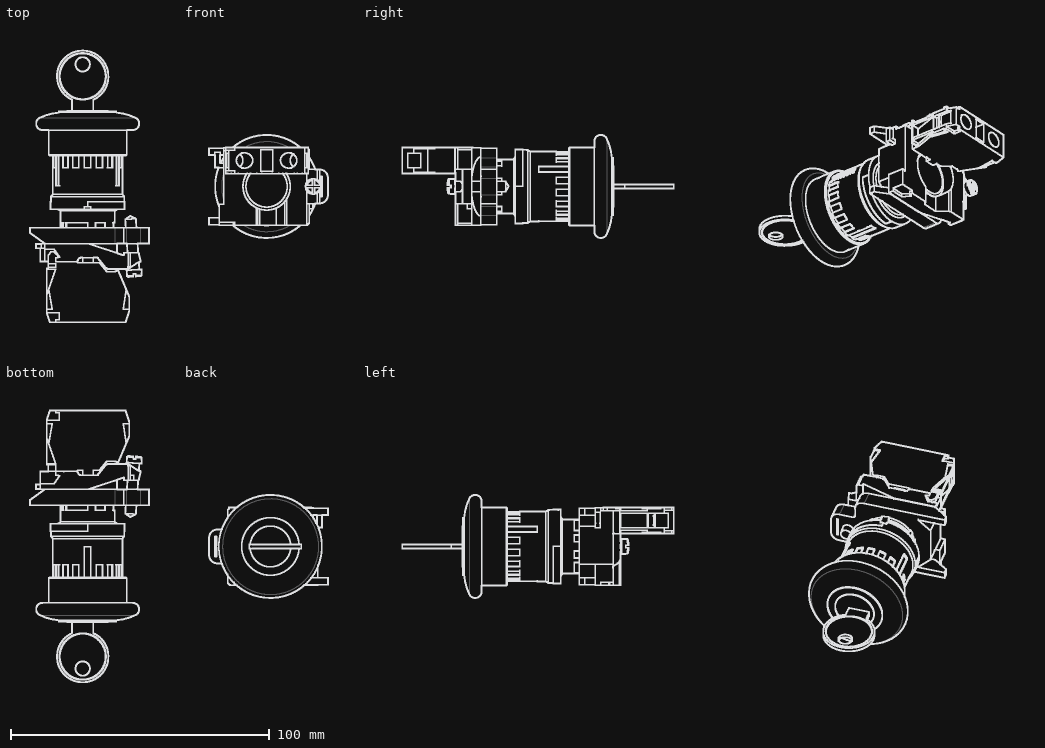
import cadquery as cq
import math


STEM_RADIUS = 9.1
STEM_END = -11.7
FACE_Y = -13.1
CLIP_DEPTH = 1.3
COLLAR_TOP = 15.0
CONTACT_TOP = 15.1
CLIP_FLOOR = COLLAR_TOP - CLIP_DEPTH
CLIP_BARB = (-10.8, -11.5)
CLIP_NECK = (-12.4, -11.8)

CAP_RADIUS = 20.0
RIM_RADIUS = 2.5
RIM_END_ANGLE = 64
CAP_BASE = 37.6
CAP_EDGE_RADIUS = 11.1
DOME_END = 44.4
CAP_FRONT = 44.9
KEY_BOSS_RADIUS = 7.9
KEY_BOSS_FRONT = 45.2
SLEEVE_RADIUS = 15.1
SLEEVE_END = 27.7
SLEEVE_CHAMFER = 0.4
BARREL_RADIUS = 13.5
BARREL_END = 12.8
FLANGE_RADIUS = 14.2
FLANGE_TOP = 11.9
FLANGE_END = 7.0
NECK_RADIUS = 10.5
NECK_CONE_RADIUS = 11.5
NECK_TOP = 6.4
STEM_CHAMFER_R = 1.2
STEM_CHAMFER_Y = 0.4

SLOT_COUNT = 18
SLOT_WIDTH = 2.5
SLOT_DEPTH = 0.5
SHORT_SLOT_END = 23.0
LONG_SLOT_END = 16.1
FIRST_SLOT_ANGLE = 30
SLOTS_PER_LONG = 6

NECK_NOTCH_DEPTH = 0.4
NECK_NOTCH_HEIGHT = 1.9
NECK_NOTCHES = [(-18, 18), (49, 73), (90, 143), (154, 170), (-73, -49), (-143, -90), (-170, -154)]
FLANGE_BANDS = [(0, 90), (-180, -90)]
FLANGE_BAND_HEIGHT = 0.16
FLANGE_BAND_TOP = 10.0
FLANGE_NOTCH_HEIGHT = 1.0
FLANGE_NOTCH_DEPTH = 1.0

KEY_X = -1.9
KEY_RADIUS = 10.0
KEY_END = 68.4
KEY_THICKNESS = 1.7
KEY_NECK_WIDTH = 8.3
KEY_FACE_RADIUS = 9.0
KEY_FACE_FLOOR_RADIUS = 8.8
KEY_FACE_DEPTH = 0.16
KEY_HOLE_Y = 63.0
KEY_HOLE_RADIUS = 2.7

PLATE_THICKNESS = 6.2
PLATE_TOP = 14.8
COLLAR_LEFT = -16.6
PLATE_RIGHT = 14.0
RIDGE_Y = -16.1
RIDGE_LEFT = 6.9
RIDGE_BEVEL_X = 0.9
RIDGE_BEVEL_Y = 0.5
RIDGE_RIGHT = 15.5
ARM_TIP_X = -22.3
ARM_HEIGHT = 2.7
ARM_TIP_LENGTH = 2.1
FOOT_LEFT = -18.4
FOOT_TOP = -6.8
HUB_RADIUS = 11.5
TAB_RIGHT = 23.7
TAB_HALF_HEIGHT = 6.6
TAB_CORNER = 3.4
TAB_ROOT_FILLET = 0.9
TAB_SLIT_X = 21.1
TAB_SLIT_WIDTH = 0.5
TAB_SLIT_HEIGHT = 7.8
SIDE_STRIP_RIGHT = 16.5
SIDE_STRIP_CHAMFER = 0.8

SCREW_TIP = (16.5, 4.5)
SCREW_TILT = 4.0
SCREW_RADIUS = 2.1
SCREW_CONE = 1.3
SCREW_LENGTH = 20.9
SCREW_HEAD_RADIUS = 2.9
SCREW_HEAD_HEIGHT = 2.6
SCREW_HEAD_CHAMFER = 0.4
SCREW_SLOT_WIDTH = 0.8
SCREW_SLOT_DEPTH = 1.0

CONTACT_BOTTOM = 4.9
CONTACT_FRONT = -36.7
CONTACT_LEFT = -15.9
CONTACT_RIGHT = 16.2
HOOK_LEFT = -15.2
HOOK_TIP = -9.3
HOOK_ROOT = -15.8
CONTACT_BACK = -13.5
BEVEL_BACK = -32.9
WINDOW_FRONT = -34.5
WINDOW_BACK = -29.4
GRIP_FRONT = -31.6
TERMINAL_X = 8.5
TERMINAL_RADIUS = 2.9
TERMINAL_DEPTH = 9.5
TERMINAL_TILT = 21.0
WINDOW_WIDTH = 4.6
WINDOW_HEIGHT = 8.3
WINDOW_DEPTH = 6.3
CONTACT_MID_Z = (CONTACT_TOP + CONTACT_BOTTOM) / 2
SIDE_POCKET_HEIGHT = 5.7
SIDE_STEP = 1.3
GRIP_STEP = 0.6
LABEL_STEP = 1.2
HOOK_GROOVE = 0.6


def prism(points, bottom, top):
    """Polygon in x, y extruded along Z from bottom to top."""
    return cq.Workplane("XY").workplane(offset=bottom).polyline(points).close().extrude(top - bottom)


def block(x0, x1, y0, y1, z0, z1):
    """Box between the given limits."""
    return cq.Workplane("XY").box(x1 - x0, y1 - y0, z1 - z0, centered=False).translate((x0, y0, z0))


def rod(radius, front, back, x=0.0, z=0.0):
    """Cylinder parallel to Y, between y = front and y = back."""
    return cq.Workplane("XZ", origin=(x, back, z)).circle(radius).extrude(back - front)


def turned_body():
    """Mushroom cap, sleeve, barrel, flange, neck and stem as one profile about Y."""
    rim_x = CAP_RADIUS - RIM_RADIUS
    rim_y = CAP_BASE + RIM_RADIUS
    rim_end_angle = math.radians(RIM_END_ANGLE)
    rim_end = (rim_x + RIM_RADIUS * math.cos(rim_end_angle), rim_y + RIM_RADIUS * math.sin(rim_end_angle))
    profile = (
        cq.Workplane("XY")
        .moveTo(0, STEM_END)
        .lineTo(STEM_RADIUS - STEM_CHAMFER_R, STEM_END)
        .lineTo(STEM_RADIUS, STEM_END + STEM_CHAMFER_Y)
        .lineTo(STEM_RADIUS, 0)
        .lineTo(NECK_RADIUS, 0)
        .lineTo(NECK_RADIUS, NECK_TOP)
        .lineTo(NECK_CONE_RADIUS, FLANGE_END)
        .lineTo(FLANGE_RADIUS, FLANGE_END)
        .lineTo(FLANGE_RADIUS, FLANGE_TOP)
        .lineTo(BARREL_RADIUS, BARREL_END)
        .lineTo(BARREL_RADIUS, SLEEVE_END)
        .lineTo(SLEEVE_RADIUS - SLEEVE_CHAMFER, SLEEVE_END)
        .lineTo(SLEEVE_RADIUS, SLEEVE_END + SLEEVE_CHAMFER)
        .lineTo(SLEEVE_RADIUS, CAP_BASE)
        .lineTo(rim_x, CAP_BASE)
        .threePointArc((CAP_RADIUS, rim_y), rim_end)
        .tangentArcPoint((CAP_EDGE_RADIUS, DOME_END), relative=False)
        .lineTo(CAP_EDGE_RADIUS, CAP_FRONT)
        .lineTo(KEY_BOSS_RADIUS, CAP_FRONT)
        .lineTo(KEY_BOSS_RADIUS, KEY_BOSS_FRONT)
        .lineTo(0, KEY_BOSS_FRONT)
        .close()
    )
    return profile.revolve(360, (0, 0, 0), (0, 1, 0))


def barrel_slots():
    """Axial slots around the barrel, starting at the sleeve."""
    slots = cq.Workplane("XY")
    for index in range(SLOT_COUNT):
        end = LONG_SLOT_END if index % SLOTS_PER_LONG == 0 else SHORT_SLOT_END
        slot = block(BARREL_RADIUS - SLOT_DEPTH, FLANGE_RADIUS, end, SLEEVE_END,
                     -SLOT_WIDTH / 2, SLOT_WIDTH / 2)
        angle = FIRST_SLOT_ANGLE + index * 360 / SLOT_COUNT
        slots = slots.add(slot.rotate((0, 0, 0), (0, 1, 0), -angle))
    return slots.combine()


def ring_sector(start, end, inner, outer, bottom, top):
    """Ring about Y between two angles in degrees from +X towards +Z."""
    return (
        cq.Workplane("XY")
        .moveTo(inner, bottom)
        .lineTo(outer, bottom)
        .lineTo(outer, top)
        .lineTo(inner, top)
        .close()
        .revolve(end - start, (0, 0, 0), (0, 1, 0))
        .rotate((0, 0, 0), (0, 1, 0), -end)
    )


def flange_notch():
    """Small notch in the lower edge of the flange, at the top."""
    return block(-SLOT_WIDTH / 2, SLOT_WIDTH / 2, FLANGE_END, FLANGE_END + FLANGE_NOTCH_HEIGHT,
                 FLANGE_RADIUS - FLANGE_NOTCH_DEPTH, SLEEVE_RADIUS)


def key():
    """Flat key with a round bow, a shallow sunk face on both sides and a ring hole."""
    half = KEY_THICKNESS / 2
    bow_y = KEY_END - KEY_RADIUS
    bow = cq.Workplane("XY", origin=(KEY_X, bow_y, -half)).circle(KEY_RADIUS).extrude(KEY_THICKNESS)
    neck = block(KEY_X - KEY_NECK_WIDTH / 2, KEY_X + KEY_NECK_WIDTH / 2, CAP_FRONT, bow_y, -half, half)
    blank = bow.union(neck)
    for side in (1, -1):
        sunk_face = cq.Solid.makeCone(
            KEY_FACE_RADIUS, KEY_FACE_FLOOR_RADIUS, KEY_FACE_DEPTH,
            cq.Vector(KEY_X, bow_y, side * half), cq.Vector(0, 0, -side),
        )
        blank = blank.cut(cq.Workplane(obj=sunk_face))
    hole = cq.Workplane("XY", origin=(KEY_X, KEY_HOLE_Y, -half)).circle(KEY_HOLE_RADIUS)
    return blank.cut(hole.extrude(KEY_THICKNESS))


def make_actuator():
    body = turned_body().cut(barrel_slots())
    notch_floor = NECK_RADIUS - NECK_NOTCH_DEPTH
    for start, end in NECK_NOTCHES:
        body = body.cut(ring_sector(start, end, notch_floor, NECK_CONE_RADIUS, 0, NECK_NOTCH_HEIGHT))
    band_inner = FLANGE_RADIUS - FLANGE_NOTCH_DEPTH
    band_outer = FLANGE_RADIUS + FLANGE_BAND_HEIGHT
    for start, end in FLANGE_BANDS:
        body = body.union(ring_sector(start, end, band_inner, band_outer, FLANGE_END, FLANGE_BAND_TOP))
    body = body.cut(flange_notch())
    return body.union(key())


def collar_plate():
    """Plate against the panel, with two clamping arms on the left and a tab on the right."""
    arm_inner = PLATE_TOP - ARM_HEIGHT
    flank_x = -11.6
    flank_top = 7.9
    corner_start = 10.4
    corner_mid = (13.1, 13.8)
    corner_end = (PLATE_RIGHT, 11.0)
    plate = (
        cq.Workplane("XZ")
        .moveTo(flank_x, -PLATE_TOP)
        .lineTo(corner_start, -PLATE_TOP)
        .threePointArc((corner_mid[0], -corner_mid[1]), (corner_end[0], -corner_end[1]))
        .lineTo(corner_end[0], corner_end[1])
        .threePointArc(corner_mid, (corner_start, PLATE_TOP))
        .lineTo(flank_x, PLATE_TOP)
        .lineTo(flank_x, arm_inner)
        .lineTo(COLLAR_LEFT, flank_top)
        .lineTo(COLLAR_LEFT, FOOT_TOP)
        .lineTo(flank_x, -arm_inner)
        .close()
        .extrude(PLATE_THICKNESS)
    )
    arm_outline = [
        (ARM_TIP_X, 0),
        (flank_x, 0),
        (flank_x, -PLATE_THICKNESS),
        (COLLAR_LEFT, -PLATE_THICKNESS),
        (ARM_TIP_X, -ARM_TIP_LENGTH),
    ]
    for bottom in (-PLATE_TOP, arm_inner):
        plate = plate.union(prism(arm_outline, bottom, bottom + ARM_HEIGHT))
    plate = plate.union(collar_tab())
    margin = 0.1
    tab_root = cq.selectors.BoxSelector(
        (PLATE_RIGHT - margin, -PLATE_THICKNESS - margin, -TAB_HALF_HEIGHT - margin),
        (PLATE_RIGHT + margin, margin, TAB_HALF_HEIGHT + margin),
    )
    return plate.edges("|Y").edges(tab_root).fillet(TAB_ROOT_FILLET)


def collar_tab():
    """Rounded tab on the right, with a narrow slit."""
    tab = block(0, TAB_RIGHT, -PLATE_THICKNESS, 0, -TAB_HALF_HEIGHT, TAB_HALF_HEIGHT)
    tab = tab.edges("|Y and >X").fillet(TAB_CORNER)
    slit = block(TAB_SLIT_X - TAB_SLIT_WIDTH / 2, TAB_SLIT_X + TAB_SLIT_WIDTH / 2,
                 -PLATE_THICKNESS, 0, -TAB_SLIT_HEIGHT / 2, TAB_SLIT_HEIGHT / 2)
    return tab.cut(slit)


def collar_block():
    """Body in front of the plate: slot, ridge, foot, screw lug and the hub around the stem."""
    ridge_back = -9.7
    wedge_start = 0.2
    wedge_end = (PLATE_RIGHT, -10.7)
    slot_right = 3.8
    slot_left = -2.6
    outline = [
        (COLLAR_LEFT, -PLATE_THICKNESS),
        (wedge_start, -PLATE_THICKNESS),
        wedge_end,
        (wedge_end[0], ridge_back),
        (RIDGE_RIGHT, ridge_back),
        (RIDGE_RIGHT, RIDGE_Y),
        (RIDGE_LEFT + RIDGE_BEVEL_X, RIDGE_Y),
        (RIDGE_LEFT, RIDGE_Y + RIDGE_BEVEL_Y),
        (slot_right, STEM_END),
        (slot_left, STEM_END),
        (-3.4, -12.0),
        (-4.0, FACE_Y),
        (COLLAR_LEFT, FACE_Y),
    ]
    body = prism(outline, -COLLAR_TOP, COLLAR_TOP)
    foot = block(FOOT_LEFT, COLLAR_LEFT, FACE_Y, -PLATE_THICKNESS, -COLLAR_TOP, FOOT_TOP)
    hub = rod(HUB_RADIUS, STEM_END, -PLATE_THICKNESS)
    strip = block(RIDGE_RIGHT, SIDE_STRIP_RIGHT, RIDGE_Y + SIDE_STRIP_CHAMFER, ridge_back,
                  -COLLAR_TOP, COLLAR_TOP)
    strip = strip.edges("|Y and >X").chamfer(SIDE_STRIP_CHAMFER)
    lug_outline = [
        (RIDGE_RIGHT, ridge_back),
        (19.7, ridge_back),
        (20.6, -13.2),
        (19.5, -13.4),
        (RIDGE_RIGHT, RIDGE_Y),
    ]
    lug = prism(lug_outline, -TAB_HALF_HEIGHT, TAB_HALF_HEIGHT)
    lug_step = block(RIDGE_RIGHT, 17.9, -11.6, ridge_back, -8.6, -TAB_HALF_HEIGHT)
    return body.union(foot).union(hub).union(strip).union(lug).union(lug_step)


def clip_recesses():
    """Recess for a contact block clip, in the top and again in the bottom."""
    back = -8.4
    outline = [
        (FOOT_LEFT, back),
        (-12.9, back),
        CLIP_BARB,
        CLIP_NECK,
        (CLIP_NECK[0], FACE_Y),
        (FOOT_LEFT, FACE_Y),
    ]
    top = prism(outline, CLIP_FLOOR, COLLAR_TOP)
    return top.union(prism(outline, -COLLAR_TOP, -CLIP_FLOOR))


def side_hook():
    """L-shaped hook on the left, above the foot."""
    back = -6.3
    front = -8.1
    left = -20.0
    right = -18.0
    top = 13.1
    bottom = 7.2
    bar_top = 9.0
    outline = [
        (left, top),
        (right, top),
        (right, bar_top),
        (COLLAR_LEFT, bar_top),
        (COLLAR_LEFT, bottom),
        (left, bottom),
    ]
    return cq.Workplane("XZ", origin=(0, back, 0)).polyline(outline).close().extrude(back - front)


def clamp_screw():
    """Tilted clamp screw, turned about Y with its tip at the origin and then moved into place."""
    head_back = -SCREW_LENGTH
    head_front = head_back - SCREW_HEAD_HEIGHT
    profile = [
        (0, 0),
        (SCREW_RADIUS, -SCREW_CONE),
        (SCREW_RADIUS, head_back),
        (SCREW_HEAD_RADIUS, head_back),
        (SCREW_HEAD_RADIUS, head_front + SCREW_HEAD_CHAMFER),
        (SCREW_HEAD_RADIUS - SCREW_HEAD_CHAMFER, head_front),
        (0, head_front),
    ]
    screw = cq.Workplane("XY").polyline(profile).close().revolve(360, (0, 0, 0), (0, 1, 0))
    half = SCREW_SLOT_WIDTH / 2
    reach = SCREW_HEAD_RADIUS
    for half_x, half_z in ((reach, half), (half, reach)):
        screw = screw.cut(
            block(-half_x, half_x, head_front, head_front + SCREW_SLOT_DEPTH, -half_z, half_z)
        )
    return screw.rotate((0, 0, 0), (0, 0, 1), SCREW_TILT).translate((SCREW_TIP[0], SCREW_TIP[1], 0))


def make_collar():
    body = collar_plate().union(collar_block())
    body = body.cut(rod(STEM_RADIUS, RIDGE_Y, 0)).cut(clip_recesses())
    return body.union(side_hook()).union(clamp_screw())


def contact_blank():
    """Main block, with the clip hook that lies in the collar recess and the push tab in the slot."""
    outline = [
        (CLIP_NECK[0], FACE_Y),
        (-3.9, FACE_Y),
        (-3.9, CONTACT_BACK),
        (4.6, CONTACT_BACK),
        (7.5, -17.0),
        (10.6, -17.0),
        (11.8, -16.4),
        (CONTACT_RIGHT, -26.8),
        (CONTACT_RIGHT, -32.1),
        (14.7, CONTACT_FRONT),
        (-14.6, CONTACT_FRONT),
        (CONTACT_LEFT, BEVEL_BACK),
        (CONTACT_LEFT, HOOK_ROOT),
        (CLIP_NECK[0], HOOK_ROOT),
    ]
    body = prism(outline, CONTACT_BOTTOM, CONTACT_TOP)
    hook_outline = [
        (CLIP_NECK[0], HOOK_ROOT),
        CLIP_NECK,
        CLIP_BARB,
        (-13.1, HOOK_TIP),
        (-14.2, HOOK_TIP),
        (HOOK_LEFT, -10.9),
        (HOOK_LEFT, HOOK_ROOT),
    ]
    hook = prism(hook_outline, CLIP_FLOOR, CONTACT_TOP)
    push_tab = block(-1.9, 2.2, CONTACT_BACK, STEM_END, CONTACT_BOTTOM, CLIP_FLOOR)
    groove = block(HOOK_LEFT, CLIP_NECK[0], -15.4, -14.1, CONTACT_TOP - HOOK_GROOVE, CONTACT_TOP)
    return body.union(hook.cut(groove)).union(push_tab)


def terminal_hole(side):
    """Round blind hole in the front that leans outwards with depth; side is +1 for right, -1 for left."""
    x = side * TERMINAL_X
    mouth = CONTACT_FRONT - TERMINAL_RADIUS
    hole = rod(TERMINAL_RADIUS, mouth, CONTACT_FRONT + TERMINAL_DEPTH, x, CONTACT_MID_Z)
    return hole.rotate((x, CONTACT_FRONT, 0), (x, CONTACT_FRONT, 1), -side * TERMINAL_TILT)


def front_openings():
    """Two terminal holes and the rectangular window between them."""
    holes = terminal_hole(-1).union(terminal_hole(1))
    window = block(-WINDOW_WIDTH / 2, WINDOW_WIDTH / 2, CONTACT_FRONT, CONTACT_FRONT + WINDOW_DEPTH,
                   CONTACT_MID_Z - WINDOW_HEIGHT / 2, CONTACT_MID_Z + WINDOW_HEIGHT / 2)
    return holes.union(window)


def skin_cut(outline, depth):
    """Polygon cut of one depth in both the top and the bottom of the block."""
    top = prism(outline, CONTACT_TOP - depth, CONTACT_TOP)
    return top.union(prism(outline, CONTACT_BOTTOM, CONTACT_BOTTOM + depth))


def side_openings():
    """Wedge pocket and terminal opening in the left side, and a shallow window in both sides."""
    wedge = [(CONTACT_LEFT, -16.2), (CLIP_NECK[0], -16.2), (CONTACT_LEFT, -26.3)]
    bottom = CONTACT_MID_Z - SIDE_POCKET_HEIGHT / 2
    top = CONTACT_MID_Z + SIDE_POCKET_HEIGHT / 2
    pocket = prism(wedge, bottom, top)
    terminal_opening = block(CONTACT_LEFT, -14.3, -29.0, -26.7, bottom, top)
    left_window = block(CONTACT_LEFT, -14.7, WINDOW_FRONT, WINDOW_BACK, bottom, top)
    right_window = block(14.9, CONTACT_RIGHT, WINDOW_FRONT, WINDOW_BACK, bottom, top)
    openings = pocket.union(terminal_opening).union(left_window).union(right_window)
    return openings.union(skin_cut(wedge, SIDE_STEP))


def grips():
    """Triangular grips at the left and right edges and the label step at the front left corner."""
    left = [(CONTACT_LEFT, -24.4), (-14.9, -24.4), (-13.7, GRIP_FRONT), (CONTACT_LEFT, GRIP_FRONT)]
    right = [(14.9, -24.0), (13.8, GRIP_FRONT), (CONTACT_RIGHT, GRIP_FRONT), (CONTACT_RIGHT, -26.8)]
    label = [
        (CONTACT_LEFT, BEVEL_BACK),
        (-11.0, BEVEL_BACK),
        (-11.0, -35.7),
        (-12.4, -35.7),
        (-12.4, CONTACT_FRONT),
        (CONTACT_LEFT, CONTACT_FRONT),
    ]
    return skin_cut(left, GRIP_STEP).union(skin_cut(right, GRIP_STEP)).union(skin_cut(label, LABEL_STEP))


def make_contact_block():
    return contact_blank().cut(front_openings()).cut(side_openings()).cut(grips())


actuator = make_actuator()
collar = make_collar()
contact_block = make_contact_block()
result = cq.Compound.makeCompound([actuator.val(), collar.val(), contact_block.val()])